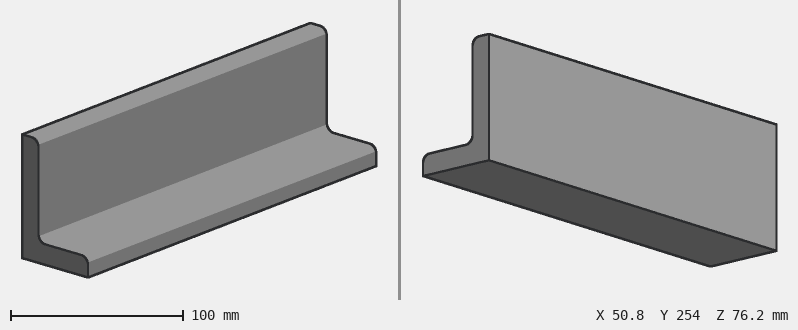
import cadquery as cq

length = 254.0
width = 50.8
height = 76.2
thickness = 12.7
toe_radius = 5.0
root_radius = 5.0

profile = (
    cq.Workplane("XZ")
    .lineTo(width, 0)
    .lineTo(width, thickness)
    .lineTo(thickness, thickness)
    .lineTo(thickness, height)
    .lineTo(0, height)
    .close()
)
bar = profile.extrude(-length)


def round_edge(body, x, z, radius):
    """Round the lengthwise edge that passes through (x, z)."""
    edge = cq.selectors.NearestToPointSelector((x, length / 2, z))
    return body.edges("|Y").edges(edge).fillet(radius)


bar = round_edge(bar, thickness, height, toe_radius)
bar = round_edge(bar, width, thickness, toe_radius)
bar = round_edge(bar, thickness, thickness, root_radius)

result = bar